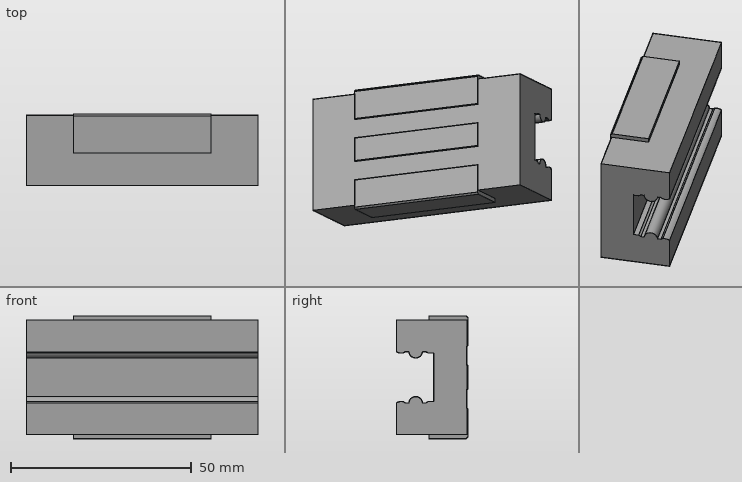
import cadquery as cq
import math

length = 64.0
total_depth = 19.8
total_height = 34.0
pad_back_thickness = 0.3
pad_side_thickness = 1.15
body_depth = total_depth - pad_back_thickness
body_height = total_height - 2 * pad_side_thickness

channel_depth = 10.25
wall_level = 6.65
recess_level = 7.05
inner_land_end = 8.8
inner_recess_start = 8.1
outer_recess_end = 2.4
lip_back_end = 1.9
lip_back_level = 6.7
lip_crest_depth = 1.5

rail_radius = 1.9
rail_depth = 5.3
rail_center_level = 7.2
rail_tip_level = rail_center_level - rail_radius
rail_half_width = math.sqrt(rail_radius**2 - (rail_center_level - recess_level) ** 2)

pad_length = 38.0
pad_depth = 10.8
pad_chamfer = 0.5
back_groove_inner = 3.4
back_groove_outer = 8.6
groove_flare = 0.2


def body_block():
    """Plain block with its front face on Y = 0."""
    return cq.Workplane("XY").box(length, body_depth, body_height).translate((0, body_depth / 2, 0))


def half_channel(side):
    """Half of the channel opening, on the +Z (side=1) or -Z (side=-1) side."""
    profile = (
        cq.Workplane("YZ")
        .moveTo(0, 0)
        .lineTo(channel_depth, 0)
        .lineTo(channel_depth, side * wall_level)
        .lineTo(inner_land_end, side * wall_level)
        .lineTo(inner_recess_start, side * recess_level)
        .lineTo(rail_depth + rail_half_width, side * recess_level)
        .threePointArc(
            (rail_depth, side * rail_tip_level),
            (rail_depth - rail_half_width, side * recess_level),
        )
        .lineTo(outer_recess_end, side * recess_level)
        .lineTo(lip_back_end, side * lip_back_level)
        .threePointArc((lip_crest_depth, side * wall_level), (0, side * recess_level))
        .close()
    )
    return profile.extrude(length / 2, both=True)


def back_groove(side):
    """Flared groove that splits the back of the pad down to the body."""
    return (
        cq.Workplane("YZ")
        .polyline([
            (body_depth, side * back_groove_inner),
            (total_depth, side * (back_groove_inner - groove_flare)),
            (total_depth, side * (back_groove_outer + groove_flare)),
            (body_depth, side * back_groove_outer),
        ])
        .close()
        .extrude(pad_length / 2, both=True)
    )


def wrapped_pad():
    """Block enclosing the body, beveled along its two long back edges."""
    return (
        cq.Workplane("XY")
        .box(pad_length, pad_depth, total_height)
        .translate((0, total_depth - pad_depth / 2, 0))
        .faces(">Y")
        .edges("|X")
        .chamfer(pad_chamfer)
    )


pad = wrapped_pad()
for side in (1, -1):
    pad = pad.cut(back_groove(side))

result = body_block().union(pad)
for side in (1, -1):
    result = result.cut(half_channel(side))